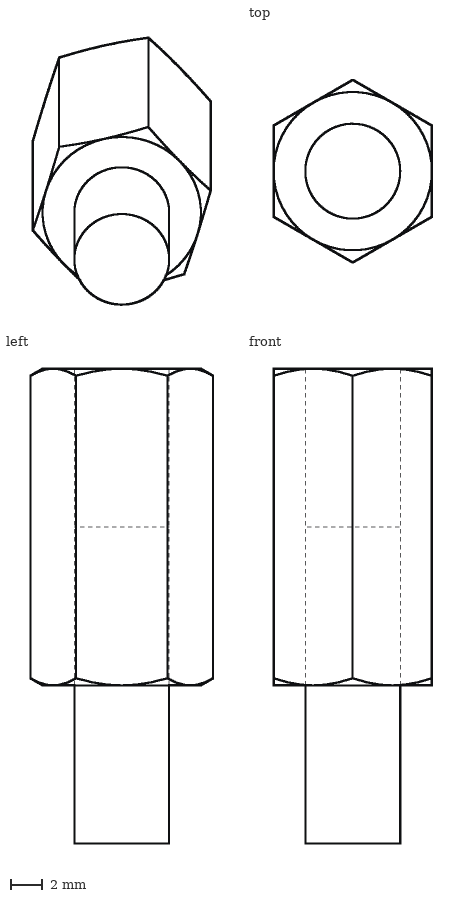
import cadquery as cq
import math

total_length = 30.0
stud_exposed = total_length / 3
across_flats = total_length / 3
thread_diameter = 6.0
stud_insertion = 10.0
chamfer_angle = 30.0

hex_length = total_length - stud_exposed
across_corners = across_flats / math.cos(math.radians(30))
corner_overhang = (across_corners - across_flats) / 2
chamfer_height = corner_overhang * math.tan(math.radians(chamfer_angle))


def make_chamfer_envelope():
    """Turned blank whose conical ends cut the corners of the hexagon."""
    face_radius = across_flats / 2
    corner_radius = across_corners / 2
    return (
        cq.Workplane("XZ")
        .moveTo(0, stud_exposed)
        .lineTo(face_radius, stud_exposed)
        .lineTo(corner_radius, stud_exposed + chamfer_height)
        .lineTo(corner_radius, total_length - chamfer_height)
        .lineTo(face_radius, total_length)
        .lineTo(0, total_length)
        .close()
        .revolve(360, (0, 0, 0), (0, 1, 0))
    )


def make_spacer():
    """Hexagonal spacer, corners along Y, with chamfered ends and a through bore."""
    hexagon = (
        cq.Workplane("XY", origin=(0, 0, stud_exposed))
        .polygon(6, across_corners)
        .extrude(hex_length)
        .rotate((0, 0, 0), (0, 0, 1), 90)
    )
    bore = (
        cq.Workplane("XY", origin=(0, 0, stud_exposed))
        .circle(thread_diameter / 2)
        .extrude(hex_length)
    )
    return hexagon.intersect(make_chamfer_envelope()).cut(bore)


def make_stud():
    """Plain stud seated in the lower part of the bore."""
    return (
        cq.Workplane("XY")
        .circle(thread_diameter / 2)
        .extrude(stud_exposed + stud_insertion)
    )


spacer = make_spacer()
stud = make_stud()

result = cq.Compound.makeCompound([spacer.val(), stud.val()])